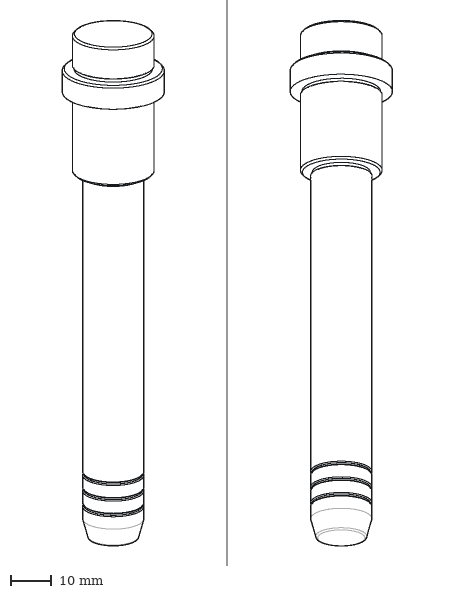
import cadquery as cq

LENGTH = 131.0
COLLAR_DIAMETER = 25.0

DIAMETER_STEP = COLLAR_DIAMETER / 5
COLLAR_RADIUS = COLLAR_DIAMETER / 2
HEAD_RADIUS = 4 * DIAMETER_STEP / 2
SHAFT_RADIUS = 3 * DIAMETER_STEP / 2

COLLAR_TOP = 122.0
COLLAR_BOTTOM = 116.0
BODY_BOTTOM = 95.0

EDGE_CHAMFER = 0.5
RELIEF_WIDTH = 0.9
RELIEF_DEPTH = 0.4

TAPER_HEIGHT = 5.0
TIP_RADIUS = 6.2

GROOVE_COUNT = 3
GROOVE_PITCH = 4.0
LOWEST_GROOVE_HEIGHT = 8.6
GROOVE_DEPTH = 0.33
GROOVE_MOUTH_WIDTH = 0.9
GROOVE_FLOOR_WIDTH = 0.4


def cylinder(radius, bottom, top):
    """Cylinder on the Z axis between two heights."""
    return cq.Workplane("XY").workplane(offset=bottom).circle(radius).extrude(top - bottom)


def relief(radius, bottom):
    """Short neck, slightly smaller than the given radius."""
    return cylinder(radius - RELIEF_DEPTH, bottom, bottom + RELIEF_WIDTH)


def shaft_groove(height):
    """Ring that cuts a groove with a flat floor and sloping sides into the shaft."""
    floor_radius = SHAFT_RADIUS - GROOVE_DEPTH
    return (
        cq.Workplane("XZ")
        .polyline([
            (SHAFT_RADIUS, height - GROOVE_MOUTH_WIDTH / 2),
            (floor_radius, height - GROOVE_FLOOR_WIDTH / 2),
            (floor_radius, height + GROOVE_FLOOR_WIDTH / 2),
            (SHAFT_RADIUS, height + GROOVE_MOUTH_WIDTH / 2),
        ])
        .close()
        .revolve(360, (0, 0), (0, 1))
    )


head = cylinder(HEAD_RADIUS, COLLAR_TOP + RELIEF_WIDTH, LENGTH).faces(">Z").chamfer(EDGE_CHAMFER)
head_relief = relief(HEAD_RADIUS, COLLAR_TOP)
collar = cylinder(COLLAR_RADIUS, COLLAR_BOTTOM, COLLAR_TOP).faces(">Z").chamfer(EDGE_CHAMFER)
body_relief = relief(HEAD_RADIUS, COLLAR_BOTTOM - RELIEF_WIDTH)
body = cylinder(HEAD_RADIUS, BODY_BOTTOM, COLLAR_BOTTOM - RELIEF_WIDTH)
body = body.faces("<Z").chamfer(EDGE_CHAMFER)

shaft_relief = relief(SHAFT_RADIUS, BODY_BOTTOM - RELIEF_WIDTH)
shaft = cylinder(SHAFT_RADIUS, TAPER_HEIGHT, BODY_BOTTOM - RELIEF_WIDTH)
tip = (
    cq.Workplane("XZ")
    .polyline([(0, 0), (TIP_RADIUS, 0), (SHAFT_RADIUS, TAPER_HEIGHT), (0, TAPER_HEIGHT)])
    .close()
    .revolve(360, (0, 0), (0, 1))
    .faces("<Z")
    .edges()
    .fillet(EDGE_CHAMFER)
)

result = tip
for section in (shaft, shaft_relief, body, body_relief, collar, head_relief, head):
    result = result.union(section)

for index in range(GROOVE_COUNT):
    result = result.cut(shaft_groove(LOWEST_GROOVE_HEIGHT + index * GROOVE_PITCH))